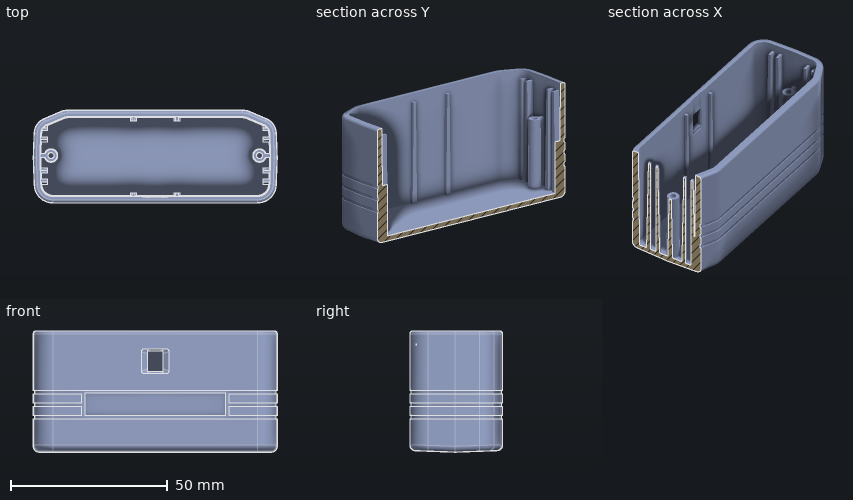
import cadquery as cq
import math

WIDTH = 77.77
DEPTH = 29.6
HEIGHT = 38.7
FRONT_Y = -DEPTH / 2
BACK_Y = DEPTH / 2

RIDGE_Y = -0.35
RIDGE_SLOPE = 0.037
BACK_CORNER_X = 29.0
BACK_CORNER_SLOPE = math.tan(math.radians(23.2))
CORNER_RADIUS = 6.0
SHOULDER_RADIUS = 5.3
BASE_FILLET = 1.9
RIM_FILLET = 1.0

TOLERANCE = 0.05

WALL = 2.1
FLOOR_Z = 2.2
CAVITY_DRAFT = 0.5

GROOVE_DEPTH = 0.35
GROOVE_WIDTH = 1.15
STRIP_WIDTH = 2.85
BAND_BOTTOM_Z = 10.6
BAND_PITCH = GROOVE_WIDTH + STRIP_WIDTH
GROOVE_COUNT = 3
BAND_HEIGHT = (GROOVE_COUNT - 1) * BAND_PITCH + GROOVE_WIDTH

LABEL_WIDTH = 44.8
LABEL_HEIGHT = 7.1
LABEL_BOTTOM_Z = BAND_BOTTOM_Z + GROOVE_WIDTH
LABEL_DEPTH = 0.85
LABEL_BORDER = 1.05
FIELD_WIDTH = LABEL_WIDTH + 2 * LABEL_BORDER

WINDOW_Z = 29.0
WINDOW_MOUTH_WIDTH = 8.8
WINDOW_MOUTH_HEIGHT = 7.9
WINDOW_WIDTH = 4.9
WINDOW_HEIGHT = 6.65
WINDOW_CORNER = 0.9
WINDOW_TAPER_DEPTH = 1.0

LENS_SLOT_FLOOR_Y = -12.9
LENS_SLOT_FLOOR_WIDTH = 7.8
LENS_SLOT_MOUTH_WIDTH = 4.6
LENS_SLOT_BELOW_WINDOW = 1.0

RIB_TOP_Z = 36.0
RIB_TOP_WIDTH = 0.9
RIB_FLARE = 0.75
END_RIB_TIP_X = 34.25
SLOT_WIDTH = 1.95
SLOT_CENTRES_Y = (7.25, -6.25)
LONG_RIB_X = 6.9
LONG_RIB_FLARE = 0.5
BACK_RIB_TIP_Y = 11.4
FRONT_RIB_TIP_Y = -11.6

BOSS_X = 33.2
BOSS_Y = 0.3
BOSS_TOP_Z = 25.2
BOSS_TOP_RADIUS = 1.95
BOSS_BASE_RADIUS = 2.15
BOSS_HOLE_RADIUS = 0.95
WEB_THICKNESS = 1.2


def end_x(y):
    """Half width of the vee-shaped end at depth y, before the corners are rounded."""
    return WIDTH / 2 - RIDGE_SLOPE * abs(y - RIDGE_Y)


def outline_prism():
    """Rounded plan outline extruded to full height."""
    flat_reach = WIDTH / 2 + RIDGE_SLOPE * RIDGE_Y - BACK_CORNER_X
    shoulder_y = (BACK_Y - BACK_CORNER_SLOPE * flat_reach) / (1 - BACK_CORNER_SLOPE * RIDGE_SLOPE)
    right_side = [
        (end_x(FRONT_Y), FRONT_Y),
        (WIDTH / 2, RIDGE_Y),
        (end_x(shoulder_y), shoulder_y),
        (BACK_CORNER_X, BACK_Y),
    ]
    left_side = [(-x, y) for x, y in reversed(right_side)]
    prism = cq.Workplane("XY").polyline(right_side + left_side).close().extrude(HEIGHT)

    def at_shoulder(edge):
        return abs(edge.Center().y - shoulder_y) < TOLERANCE

    def at_front_or_back(edge):
        return abs(abs(edge.Center().y) - DEPTH / 2) < TOLERANCE

    prism = prism.edges("|Z").filter(at_shoulder).fillet(SHOULDER_RADIUS)
    return prism.edges("|Z").filter(at_front_or_back).fillet(CORNER_RADIUS)


def half_space(side):
    """Box covering the housing behind (side = 1) or in front (side = -1) of the ridge plane."""
    centre_y = RIDGE_Y + side * DEPTH
    return cq.Workplane("XY").box(2 * WIDTH, 2 * DEPTH, 3 * HEIGHT).translate((0, centre_y, 0))


def round_base(half):
    """Round the base edges of one half, leaving the ridge line sharp."""
    def on_outside(edge):
        low = edge.BoundingBox().zmax < BASE_FILLET
        on_ridge = edge.BoundingBox().ylen < TOLERANCE and abs(edge.Center().y - RIDGE_Y) < TOLERANCE
        return low and not on_ridge

    return half.edges().filter(on_outside).fillet(BASE_FILLET)


def housing_block(prism):
    """Outer shape: vee-shaped base, rounded base and rim edges."""
    side_profile = [
        (FRONT_Y, HEIGHT),
        (FRONT_Y, RIDGE_SLOPE * (RIDGE_Y - FRONT_Y)),
        (RIDGE_Y, 0),
        (BACK_Y, RIDGE_SLOPE * (BACK_Y - RIDGE_Y)),
        (BACK_Y, HEIGHT),
    ]
    vee = cq.Workplane("YZ").polyline(side_profile).close().extrude(WIDTH / 2, both=True)
    block = prism.intersect(vee)

    front_half = block.intersect(half_space(-1))
    back_half = block.intersect(half_space(1))
    block = round_base(front_half).union(round_base(back_half))
    return block.faces(">Z").edges().fillet(RIM_FILLET)


def cavity(prism):
    """Drafted inside space, open at the top."""
    rim_wire = prism.faces(">Z").wires().val().offset2D(-WALL)[0]
    return (
        cq.Workplane("XY", origin=(0, 0, HEIGHT))
        .add(rim_wire)
        .toPending()
        .extrude(-(HEIGHT - FLOOR_Z), taper=CAVITY_DRAFT)
    )


def front_pocket(width, bottom_z, height, depth):
    """Rectangular cutter sunk into the front face, centred on X = 0."""
    corner = (-width / 2, FRONT_Y, bottom_z)
    return cq.Workplane("XY").box(width, depth, height, centered=False).translate(corner)


def bands(prism):
    """Grooves around the housing plus the front field and label recess."""
    outer = prism.faces("<Z").wires().val()
    inner = outer.offset2D(-GROOVE_DEPTH)[0]
    ring = (
        cq.Workplane("XY").add(outer).toPending().extrude(GROOVE_WIDTH)
        .cut(cq.Workplane("XY").add(inner).toPending().extrude(GROOVE_WIDTH))
    )
    cutter = front_pocket(FIELD_WIDTH, BAND_BOTTOM_Z, BAND_HEIGHT, GROOVE_DEPTH)
    for index in range(GROOVE_COUNT):
        cutter = cutter.union(ring.translate((0, 0, BAND_BOTTOM_Z + index * BAND_PITCH)))
    return cutter.union(front_pocket(LABEL_WIDTH, LABEL_BOTTOM_Z, LABEL_HEIGHT, LABEL_DEPTH))


def window():
    """Funnel-shaped mouth followed by a straight opening through the front wall."""
    def rounded(width, height):
        return cq.Sketch().rect(width, height).vertices().fillet(WINDOW_CORNER)

    plane = cq.Plane(origin=(0, FRONT_Y, WINDOW_Z), xDir=(1, 0, 0), normal=(0, -1, 0))
    inward = cq.Location(cq.Vector(0, 0, -WINDOW_TAPER_DEPTH))
    mouth = (
        cq.Workplane(plane)
        .placeSketch(
            rounded(WINDOW_MOUTH_WIDTH, WINDOW_MOUTH_HEIGHT),
            rounded(WINDOW_WIDTH, WINDOW_HEIGHT).moved(inward),
        )
        .loft(ruled=True)
    )
    opening = front_pocket(WINDOW_WIDTH, WINDOW_Z - WINDOW_HEIGHT / 2, WINDOW_HEIGHT, 2 * WALL)
    return mouth.union(opening)


def lens_slot():
    """Dovetail slot running from the rim to just below the window."""
    bottom_z = WINDOW_Z - WINDOW_HEIGHT / 2 - LENS_SLOT_BELOW_WINDOW
    mouth_y = FRONT_Y + WALL
    floor_half = LENS_SLOT_FLOOR_WIDTH / 2
    mouth_half = LENS_SLOT_MOUTH_WIDTH / 2
    profile = [
        (-floor_half, LENS_SLOT_FLOOR_Y),
        (floor_half, LENS_SLOT_FLOOR_Y),
        (mouth_half, mouth_y),
        (mouth_half, mouth_y + WALL),
        (-mouth_half, mouth_y + WALL),
        (-mouth_half, mouth_y),
    ]
    plane = cq.Workplane("XY", origin=(0, 0, bottom_z))
    return plane.polyline(profile).close().extrude(HEIGHT - bottom_z)


def end_ribs():
    """Pairs of board-guide ribs on both ends; each flares away from its slot."""
    length = WIDTH / 2 - END_RIB_TIP_X
    ribs = cq.Workplane("XY")
    for slot_y in SLOT_CENTRES_Y:
        for side in (1, -1):
            inner_y = slot_y + side * SLOT_WIDTH / 2
            top_y = inner_y + side * RIB_TOP_WIDTH
            base_y = top_y + side * RIB_FLARE
            profile = [(inner_y, 0), (inner_y, RIB_TOP_Z), (top_y, RIB_TOP_Z), (base_y, 0)]
            rib = cq.Workplane("YZ", origin=(END_RIB_TIP_X, 0, 0)).polyline(profile).close().extrude(length)
            ribs = ribs.add(rib).add(rib.mirror("YZ"))
    return ribs.combine()


def long_wall_ribs():
    """Tapered upright ribs on the front and back walls."""
    top = RIB_TOP_WIDTH / 2
    base = top + LONG_RIB_FLARE
    profile = [(-base, 0), (-top, RIB_TOP_Z), (top, RIB_TOP_Z), (base, 0)]
    spans = ((FRONT_Y, FRONT_RIB_TIP_Y), (BACK_RIB_TIP_Y, BACK_Y))
    ribs = cq.Workplane("XY")
    for near_y, far_y in spans:
        plane = cq.Workplane("XZ", origin=(0, near_y, 0))
        rib = plane.polyline(profile).close().extrude(near_y - far_y)
        for x in (-LONG_RIB_X, LONG_RIB_X):
            ribs = ribs.add(rib.translate((x, 0, 0)))
    return ribs.combine()


def bosses():
    """Tapered screw bosses with webs to the end walls."""
    cone = cq.Workplane("XY").circle(BOSS_BASE_RADIUS).workplane(offset=BOSS_TOP_Z)
    cone = cone.circle(BOSS_TOP_RADIUS).loft().translate((BOSS_X, BOSS_Y, 0))
    web_length = WIDTH / 2 - BOSS_X
    web = cq.Workplane("XY").box(web_length, WEB_THICKNESS, BOSS_TOP_Z, centered=(False, True, False))
    boss = cone.union(web.translate((BOSS_X, BOSS_Y, 0)))
    return boss.union(boss.mirror("YZ"))


def boss_holes():
    """Blind screw holes reaching down to the floor."""
    centres = [(-BOSS_X, BOSS_Y), (BOSS_X, BOSS_Y)]
    floor = cq.Workplane("XY", origin=(0, 0, FLOOR_Z))
    return floor.pushPoints(centres).circle(BOSS_HOLE_RADIUS).extrude(BOSS_TOP_Z - FLOOR_Z)


prism = outline_prism()
inside = cavity(prism)
inner_features = end_ribs().union(long_wall_ribs()).union(bosses()).intersect(inside)

result = (
    housing_block(prism)
    .cut(inside)
    .union(inner_features)
    .cut(boss_holes())
    .cut(bands(prism))
    .cut(window())
    .cut(lens_slot())
)